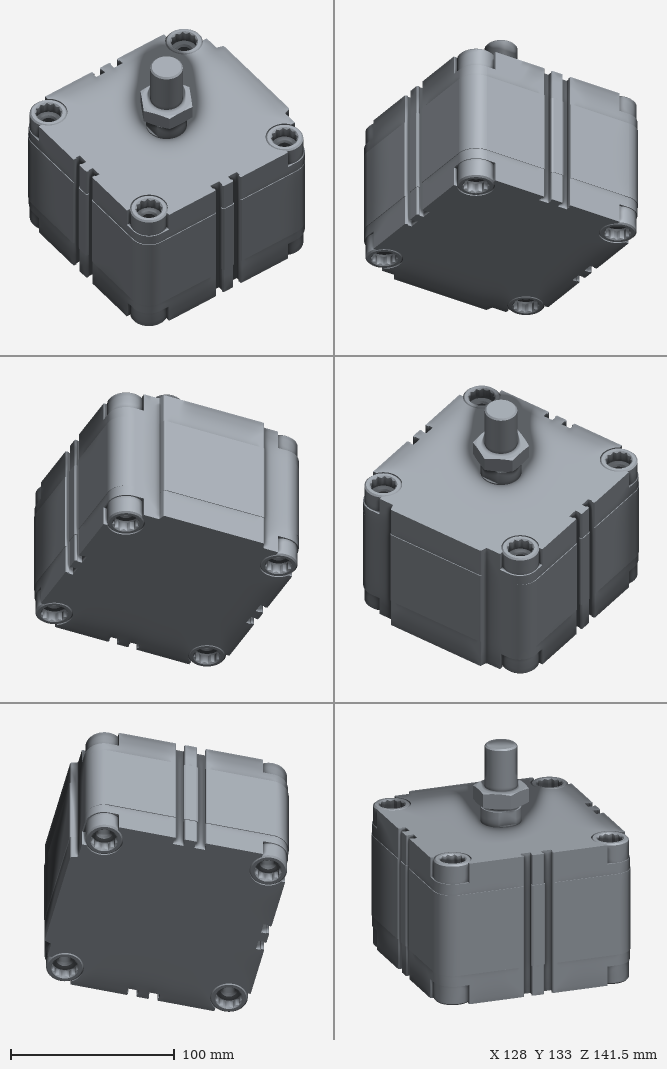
import cadquery as cq
import math

total_height = 141.5
body_height = 91.5
cap_height = 19.5
barrel_height = body_height - 2 * cap_height

barrel_width = 128.0
barrel_half = barrel_width / 2
cap_inset = 0.4
screw_offset = 51.5
barrel_corner_radius = barrel_half - screw_offset

pad_base_half_width = 35.1
pad_top_half_width = 33.8
pad_height = 5.0
pad_fillet = 1.1

slot_inner = 3.4
slot_outer = 10.0
slot_depth = 5.5
lip_outer = 9.3
lip_depth = 2.5
lip_full_depth = 1.8
lip_chamfer = 0.4
rib_chamfer_depth = 0.5
barrel_rib_lip = 4.4
cap_rib_lip = barrel_rib_lip - cap_inset

screw_head_diameter = 23.0
screw_head_height = 12.5
screw_head_chamfer = 1.0
notch_size = 18.8
screw_bore = 8.2
bore_mouth_diameter = 10.5
socket_diameter = 16.5
socket_mouth_diameter = 17.1
socket_depth = 7.9
socket_relief_height = 1.7

collar_diameter = 25.0
collar_height = 9.8
wrench_flats = 22.1
flats_start = 0.8
neck_diameter = 18.4
stud_diameter = 20.0
stud_chamfer = 1.0
nut_bottom = 104.3
nut_height = 9.9
nut_flats = 30.0
nut_chamfer_angle = 15.0

corner_signs = [(sx, sy) for sx in (-1, 1) for sy in (-1, 1)]
corner_points = [(sx * screw_offset, sy * screw_offset) for sx, sy in corner_signs]


def cylinder(diameter, bottom_z, height):
    """Upright cylinder on the Z axis."""
    return cq.Workplane("XY", origin=(0, 0, bottom_z)).circle(diameter / 2).extrude(height)


def square_block(inset, height):
    """Rounded square block with the raised +Y pad; the plain +Y face is never inset."""
    half = barrel_half - inset
    block = (
        cq.Workplane("XY")
        .center(0, inset / 2)
        .rect(2 * half, barrel_half + half)
        .extrude(height)
        .edges("|Z")
        .fillet(barrel_corner_radius - inset)
    )
    pad_top = barrel_half + pad_height - inset
    pad = (
        cq.Workplane("XY")
        .moveTo(-pad_base_half_width, 0)
        .lineTo(-pad_base_half_width, barrel_half)
        .lineTo(-pad_top_half_width, pad_top)
        .lineTo(pad_top_half_width, pad_top)
        .lineTo(pad_base_half_width, barrel_half)
        .lineTo(pad_base_half_width, 0)
        .close()
        .extrude(height)
    )
    pad_edges = cq.selectors.BoxSelector(
        (-pad_base_half_width - 1.4, barrel_half - 1.4, 0),
        (pad_base_half_width + 1.4, pad_top + 1.4, height),
    )
    return block.union(pad).edges("|Z").edges(pad_edges).fillet(pad_fillet)


def slot_pair(rib_lip, face_inset, height):
    """Cutter for the two undercut slots on the -Y side, either side of the centre rib."""
    face = -barrel_half + face_inset
    floor = -barrel_half + slot_depth
    slot = (
        cq.Workplane("XY")
        .moveTo(slot_inner, floor)
        .lineTo(slot_outer, floor)
        .lineTo(slot_outer, -barrel_half + lip_depth)
        .lineTo(lip_outer, -barrel_half + lip_depth)
        .lineTo(lip_outer, face + lip_chamfer)
        .lineTo(lip_outer + lip_chamfer, face)
        .lineTo(slot_inner, face)
        .lineTo(rib_lip, face + rib_chamfer_depth)
        .lineTo(rib_lip, -barrel_half + lip_full_depth)
        .lineTo(slot_inner, -barrel_half + lip_depth)
        .close()
        .extrude(height)
    )
    return slot.union(slot.mirror("YZ"))


def slotted_block(inset, rib_lip, height):
    """Block with a slot pair on the -X, -Y and +X sides."""
    block = square_block(inset, height)
    slots = slot_pair(rib_lip, inset, height)
    for angle in (-90, 0, 90):
        block = block.cut(slots.rotate((0, 0, 0), (0, 0, 1), angle))
    return block


def make_barrel():
    barrel = slotted_block(0, barrel_rib_lip, barrel_height)
    bores = cq.Workplane("XY").pushPoints(corner_points).circle(screw_bore / 2).extrude(barrel_height)
    return barrel.cut(bores).translate((0, 0, cap_height))


def screw_head():
    """Chamfered cylindrical head, top at the cap height."""
    head = cylinder(screw_head_diameter, cap_height - screw_head_height, screw_head_height)
    return head.faces(">Z").chamfer(screw_head_chamfer)


def cone(top_z, top_diameter, bottom_diameter):
    """45-degree cone frustum narrowing downward from top_z."""
    depth = (top_diameter - bottom_diameter) / 2
    return (
        cq.Workplane("XY", origin=(0, 0, top_z))
        .circle(top_diameter / 2)
        .workplane(offset=-depth)
        .circle(bottom_diameter / 2)
        .loft()
    )


def screw_socket():
    """Cutter for the twelve-point socket, its relief and countersunk mouth, and the through bore."""
    floor_z = cap_height - socket_depth
    bore = cylinder(screw_bore, 0, cap_height)
    socket = bore.union(cone(floor_z, bore_mouth_diameter, screw_bore))
    socket = socket.union(cylinder(socket_diameter, floor_z, socket_relief_height))
    star_floor = floor_z + socket_relief_height
    for angle in (0, 30):
        hexagon = (
            cq.Workplane("XY", origin=(0, 0, star_floor))
            .polygon(6, socket_diameter)
            .extrude(cap_height - star_floor)
        )
        socket = socket.union(hexagon.rotate((0, 0, 0), (0, 0, 1), angle))
    hex_flats = socket_diameter * math.cos(math.pi / 6)
    return socket.union(cone(cap_height, socket_mouth_diameter, hex_flats))


def make_cap():
    """End cap standing on z = 0 with its four screw heads facing up."""
    cap = slotted_block(cap_inset, cap_rib_lip, cap_height)
    notch_bottom = cap_height - screw_head_height
    head = screw_head()
    head_room = cylinder(screw_head_diameter, notch_bottom, screw_head_height)
    socket = screw_socket()
    notch_centre = barrel_half - notch_size / 2
    for sx, sy in corner_signs:
        place = (sx * screw_offset, sy * screw_offset, 0)
        notch = (
            cq.Workplane("XY", origin=(sx * notch_centre, sy * notch_centre, notch_bottom))
            .rect(notch_size, notch_size)
            .extrude(screw_head_height)
        )
        cap = cap.cut(notch).cut(head_room.translate(place))
        cap = cap.union(head.translate(place)).cut(socket.translate(place))
    return cap


def make_housing():
    """Barrel with an end cap below and its mirror image, the bearing cap, on top."""
    cap = make_cap()
    bearing_cap = cap.translate((0, 0, body_height - cap_height))
    end_cap = cap.mirror("XY").translate((0, 0, cap_height))
    return make_barrel().union(bearing_cap).union(end_cap)


def make_rod():
    """Flatted collar, neck and threaded stud."""
    collar_top = body_height + collar_height
    flat_block = (
        cq.Workplane("XY", origin=(0, 0, body_height + flats_start))
        .rect(2 * collar_diameter, wrench_flats)
        .extrude(collar_height)
    )
    foot = cylinder(collar_diameter, body_height, flats_start)
    collar = cylinder(collar_diameter, body_height, collar_height).intersect(flat_block).union(foot)
    neck = cylinder(neck_diameter, collar_top, nut_bottom - collar_top)
    stud = cylinder(stud_diameter, nut_bottom, total_height - nut_bottom).faces(">Z").chamfer(stud_chamfer)
    return collar.union(neck).union(stud)


def make_nut():
    """Hexagon with points on Y, its corners trimmed by a cone at each end."""
    nut_top = nut_bottom + nut_height
    corner_radius = nut_flats / 2 / math.cos(math.pi / 6)
    hexagon = (
        cq.Workplane("XY", origin=(0, 0, nut_bottom))
        .polygon(6, 2 * corner_radius)
        .extrude(nut_height)
        .rotate((0, 0, 0), (0, 0, 1), 30)
    )
    face_radius = nut_flats / 2
    drop = (corner_radius - face_radius) * math.tan(math.radians(nut_chamfer_angle))
    envelope = (
        cq.Workplane("XZ")
        .moveTo(0, nut_bottom)
        .lineTo(face_radius, nut_bottom)
        .lineTo(corner_radius, nut_bottom + drop)
        .lineTo(corner_radius, nut_top - drop)
        .lineTo(face_radius, nut_top)
        .lineTo(0, nut_top)
        .close()
        .revolve(360, (0, 0, 0), (0, 1, 0))
    )
    thread_hole = cylinder(stud_diameter, nut_bottom, nut_height)
    return hexagon.intersect(envelope).cut(thread_hole)


housing = make_housing().solids()
rod = make_rod().solids()
nut = make_nut().solids()

result = cq.Compound.makeCompound([housing.val(), rod.val(), nut.val()])